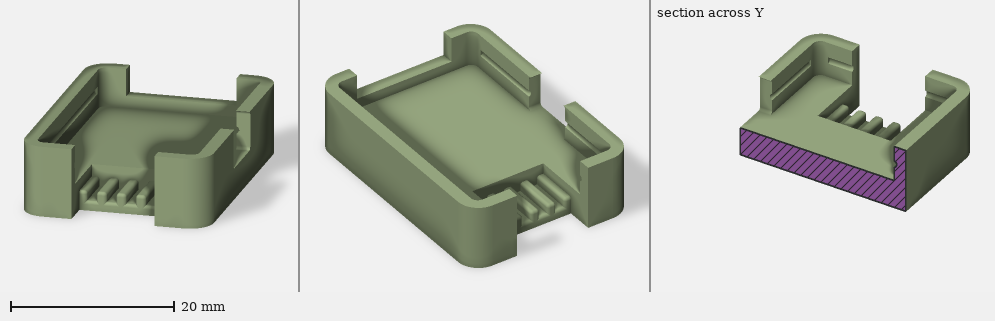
import cadquery as cq

width = 24.0
length = 34.0
height = 9.0
wall = 1.75
floor_top = 4.0
outer_radius = 3.03
inner_radius = 1.02
inner_width = width - 2 * wall
inner_length = length - 2 * wall

sill_width = 14.0
sill_top = 5.5

port_center_y = -0.75
port_width = 7.9
port_radius = 0.4
port_overrun = 0.007

bay_width = 10.55
bay_back_y = -7.25
bay_front_y = -13.25
rib_top = 2.48
slot_count = 4
slot_pitch = 2.48
slot_width = 1.22
slot_floor = 1.22
rib_rounding = 0.4

groove_radius = 0.48
groove_depth = 0.35
groove_z = 6.43
groove_end_gap = 1.53


def block(x_range, y_range, z_range):
    """Axis-aligned box given by its limits along each axis."""
    limits = (x_range, y_range, z_range)
    size = [high - low for low, high in limits]
    corner = [low for low, high in limits]
    return cq.Workplane("XY").box(*size, centered=False).translate(tuple(corner))


def make_tray():
    outside = cq.Workplane("XY").rect(width, length).extrude(height).edges("|Z").fillet(outer_radius)
    cavity = (
        cq.Workplane("XY", origin=(0, 0, floor_top))
        .rect(inner_width, inner_length)
        .extrude(height - floor_top)
        .edges("|Z")
        .fillet(inner_radius)
    )
    return outside.cut(cavity)


def make_sill_opening():
    half = sill_width / 2
    return block((-half, half), (inner_length / 2 - wall, length / 2), (sill_top, height))


def make_port():
    half = port_width / 2
    port = block(
        (inner_width / 2 - wall, width / 2),
        (port_center_y - half, port_center_y + half),
        (floor_top, height + port_overrun),
    )
    return port.edges("|X").fillet(port_radius)


def make_groove(direction, run, start):
    """Round bar along a wall, sunk into it by the groove depth."""
    return cq.Workplane(cq.Solid.makeCylinder(groove_radius, run, cq.Vector(*start), cq.Vector(*direction)))


def make_grooves():
    axis_inset = groove_radius - groove_depth
    axis_x = inner_width / 2 - axis_inset
    axis_y = inner_length / 2 - axis_inset
    side_run = inner_length - 2 * groove_end_gap
    front_run = inner_width - 2 * groove_end_gap
    grooves = [make_groove((1, 0, 0), front_run, (-front_run / 2, -axis_y, groove_z))]
    for x in (-axis_x, axis_x):
        grooves.append(make_groove((0, 1, 0), side_run, (x, -side_run / 2, groove_z)))
    return grooves


def make_bay_opening():
    half = bay_width / 2
    return block((-half, half), (-length / 2, bay_back_y), (0, height))


def make_terminal_ribs():
    """Slotted base of the bay, rounded along the rib tops and the front ends."""
    half = bay_width / 2
    ribs = block((-half, half), (bay_front_y, bay_back_y), (0, rib_top))
    for index in range(slot_count):
        center_x = (index - (slot_count - 1) / 2) * slot_pitch
        slot = block(
            (center_x - slot_width / 2, center_x + slot_width / 2),
            (bay_front_y, bay_back_y),
            (slot_floor, rib_top),
        )
        ribs = ribs.cut(slot)
    front_edges = ribs.faces("<Y").edges("not <Z").edges("not(<X or >X)")
    rib_edges = ribs.faces(">Z").edges("|Y").edges("not(<X or >X)")
    return ribs.newObject(front_edges.add(rib_edges).vals()).fillet(rib_rounding)


result = make_tray()
result = result.cut(make_sill_opening()).cut(make_port())
for groove in make_grooves():
    result = result.cut(groove)
result = result.cut(make_bay_opening()).union(make_terminal_ribs())